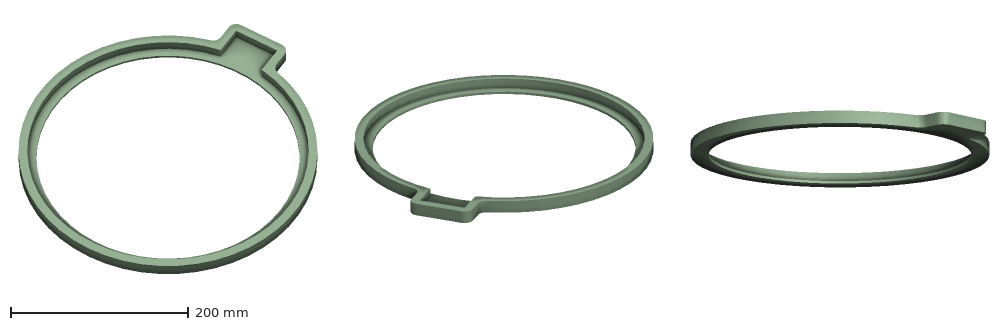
import cadquery as cq

bore_diameter = 296.8
outer_diameter = 337.3
wall = 10.0
height = 14.5
floor_thickness = 3.0
recess_diameter = outer_diameter - 2 * wall

overall_length = 368.2
tab_width = 74.5
tab_end = overall_length - outer_diameter / 2
corner_radius = 10.0
pocket_width = tab_width - 2 * wall
pocket_end = tab_end - wall


def disc_with_tab(diameter, width, end, thickness):
    """Disc on the XY plane with a rectangular tab reaching from its centre to y = end."""
    disc = cq.Workplane("XY").circle(diameter / 2).extrude(thickness)
    tab = cq.Workplane("XY").center(0, end / 2).rect(width, end).extrude(thickness)
    return disc.union(tab)


tab_edges = cq.selectors.BoxSelector(
    (-tab_width, outer_diameter / 4, -height),
    (tab_width, overall_length, 2 * height),
)
body = disc_with_tab(outer_diameter, tab_width, tab_end, height)
body = body.edges("|Z").edges(tab_edges).fillet(corner_radius)

recess = disc_with_tab(recess_diameter, pocket_width, pocket_end, height)
recess = recess.translate((0, 0, floor_thickness))

bore = cq.Workplane("XY").circle(bore_diameter / 2).extrude(height)

result = body.cut(recess).cut(bore)